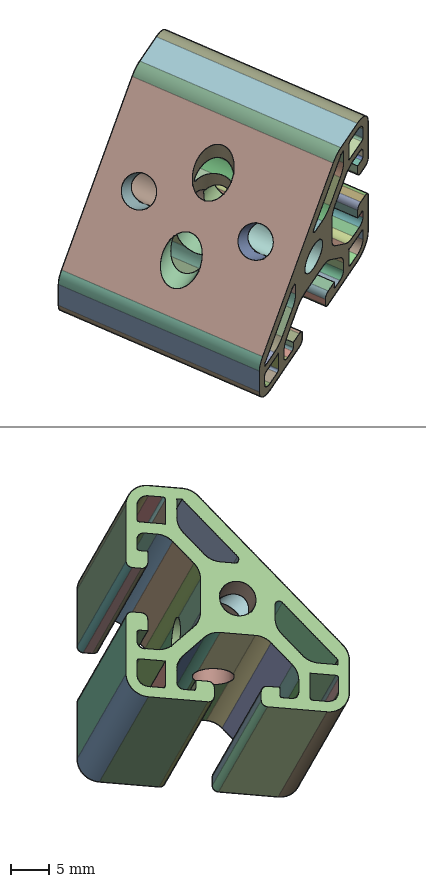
import cadquery as cq
import math


size = 30.0
half = size / 2
corner_radius = 3.0
slope_offset = 8.8

mouth_half_width = 3.15
mouth_radius = 0.85
lip_back = 12.1
hook_edge = 5.65
flange_back = 13.53
hook_radius = 0.35
slot_half_width = 8.2
slot_corner_radius = 1.0
slot_floor = 5.0
web_radius = 3.0

web_half_offset = 1.4
slope_wall = 2.0
pocket_end = 13.45
pocket_tip_radius = 0.57

chamber_near = 9.72
chamber_outer_radius = 1.53
chamber_side_radius = 0.35

bore_diameter = 4.9
cross_hole_diameter = 5.5
pin_hole_diameter = 4.92
pin_hole_x = 8.7


def rounded_outline(corners):
    """Closed YZ wire through (y, z, radius) corners, each rounded by its radius."""
    path = cq.Workplane("YZ")
    for i, (y, z, radius) in enumerate(corners):
        corner = cq.Vector(y, z)
        before = cq.Vector(*corners[i - 1][:2])
        after = cq.Vector(*corners[(i + 1) % len(corners)][:2])
        to_before = (before - corner).normalized()
        to_after = (after - corner).normalized()
        half_angle = to_before.getAngle(to_after) / 2
        tangent_length = radius / math.tan(half_angle)
        start = corner + to_before * tangent_length
        path = path.lineTo(start.x, start.y) if i else path.moveTo(start.x, start.y)
        if radius:
            bisector = (to_before + to_after).normalized()
            middle = corner + bisector * (radius / math.sin(half_angle) - radius)
            end = corner + to_after * tangent_length
            path = path.threePointArc((middle.x, middle.y), (end.x, end.y))
    return path.close()


def extrude_outline(corners):
    return rounded_outline(corners).extrude(half, both=True)


def swap_across_diagonal(corners):
    """Mirror corners in the symmetry line z = -y."""
    return [(-z, -y, radius) for y, z, radius in corners]


def side_slot():
    """Corners of the +Y slot, from its upper mouth edge to its lower one."""
    upper = [
        (half, mouth_half_width, mouth_radius),
        (lip_back, mouth_half_width, mouth_radius),
        (lip_back, hook_edge, 0),
        (flange_back, hook_edge, hook_radius),
        (flange_back, slot_half_width, slot_corner_radius),
        (slot_half_width + web_half_offset, slot_half_width, web_radius),
        (slot_floor, slot_floor - web_half_offset, web_radius),
    ]
    lower = [(y, -z, radius) for y, z, radius in reversed(upper)]
    return upper + lower


def body():
    upper_half = [
        (half - slope_offset, half, corner_radius),
        (half, half, corner_radius),
    ] + side_slot()
    lower_half = swap_across_diagonal(reversed(upper_half))
    return extrude_outline(upper_half + [(half, -half, corner_radius)] + lower_half)


def pocket():
    """Corners of the upper pocket between the diagonal web and the sloped wall."""
    inner_offset = slope_offset - slope_wall * math.sqrt(2)
    return [
        (slot_half_width, pocket_end, 0),
        (pocket_end - inner_offset, pocket_end, 0),
        (slot_floor - inner_offset, slot_floor, pocket_tip_radius),
        (slot_floor - web_half_offset, slot_floor, web_radius),
        (slot_half_width, slot_half_width + web_half_offset, web_radius),
    ]


def chamber(y_side, z_side):
    corners = [
        (chamber_near, chamber_near, 0),
        (flange_back, chamber_near, chamber_side_radius),
        (flange_back, flange_back, chamber_outer_radius),
        (chamber_near, flange_back, chamber_side_radius),
    ]
    return [(y_side * y, z_side * z, radius) for y, z, radius in corners]


def hole(diameter, length, start, direction):
    return cq.Solid.makeCylinder(diameter / 2, length, cq.Vector(*start), cq.Vector(*direction))


result = body()

cavities = [
    pocket(),
    swap_across_diagonal(pocket()),
    chamber(1, 1),
    chamber(1, -1),
    chamber(-1, -1),
]
for cavity in cavities:
    result = result.cut(extrude_outline(cavity))

result = result.cut(hole(bore_diameter, size, (-half, 0, 0), (1, 0, 0)))

result = result.cut(hole(cross_hole_diameter, size, (0, -half, 0), (0, 1, 0)))
result = result.cut(hole(cross_hole_diameter, size, (0, 0, -half), (0, 0, 1)))

for x in (-pin_hole_x, pin_hole_x):
    result = result.cut(hole(pin_hole_diameter, half, (x, 0, 0), (0, -1, 1)))